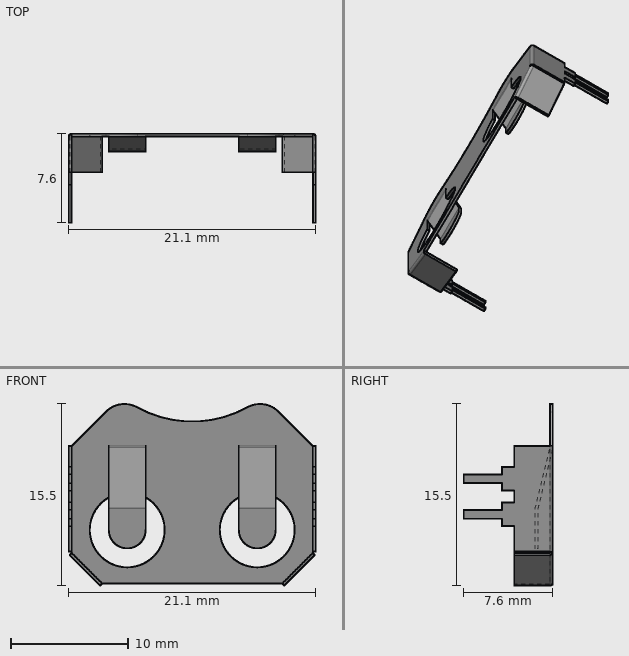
import cadquery as cq
import math


overall_width = 21.08
sheet = 0.25

half_width = overall_width / 2 - sheet
plate_top = 15.33
corner_cut = 2.61
shoulder_start = 11.75
shoulder_radius = 2.23
notch_bottom = 13.83

wall_bottom = 2.72
wall_top = shoulder_start
flange_depth = 3.3
pin_reach = 7.6
pin_width = 0.75
pin_base_reach = 4.35
pin_base_width = 2.02
pin_count = 2
pin_pitch = 3.04
lower_pin_z = 5.9

tongue_x = 5.55
tongue_width = 3.16
tongue_top = shoulder_start
tongue_reach = 1.54
tongue_angle = 13.8
tongue_bend_radius = 0.5
opening_radius = 3.18
opening_z = 4.57


def make_plate():
    """Flat plate with cut corners and a concave notch blended into two round shoulders."""
    diagonal = math.sqrt(0.5)

    shoulder_z = plate_top - shoulder_radius
    shoulder_x = half_width + shoulder_start - shoulder_radius / diagonal - shoulder_z

    rise = notch_bottom - shoulder_z
    notch_radius = (shoulder_x**2 + rise**2 - shoulder_radius**2) / (2 * (shoulder_radius - rise))
    notch_z = notch_bottom + notch_radius
    blend = shoulder_radius / (shoulder_radius + notch_radius)
    blend_x = shoulder_x * (1 - blend)
    blend_z = shoulder_z + (notch_z - shoulder_z) * blend

    edge_x = shoulder_x + shoulder_radius * diagonal
    edge_z = shoulder_z + shoulder_radius * diagonal
    return (
        cq.Workplane("XZ")
        .moveTo(corner_cut - half_width, 0)
        .lineTo(half_width - corner_cut, 0)
        .lineTo(half_width, corner_cut)
        .lineTo(half_width, shoulder_start)
        .lineTo(edge_x, edge_z)
        .threePointArc((shoulder_x, plate_top), (blend_x, blend_z))
        .threePointArc((0, notch_bottom), (-blend_x, blend_z))
        .threePointArc((-shoulder_x, plate_top), (-edge_x, edge_z))
        .lineTo(-half_width, shoulder_start)
        .lineTo(-half_width, corner_cut)
        .close()
        .extrude(sheet)
    )


def make_flange(length):
    """Forward flange with a rounded outer bend; its inner bend edge runs along +Z from the origin."""
    arc_offset = sheet * math.sqrt(0.5)
    return (
        cq.Workplane("XY")
        .threePointArc((arc_offset, arc_offset - sheet), (sheet, -sheet))
        .lineTo(sheet, -flange_depth)
        .lineTo(0, -flange_depth)
        .close()
        .extrude(length)
    )


def make_pin(center_z):
    """Solder pin on a wider base, continuing the right side wall forward."""
    pin = cq.Workplane("XY").box(sheet, pin_reach - sheet, pin_width, centered=(False, False, True))
    base = cq.Workplane("XY").box(
        sheet, pin_base_reach - sheet, pin_base_width, centered=(False, False, True)
    )
    pin = pin.translate((half_width, -pin_reach, center_z))
    return pin.union(base.translate((half_width, -pin_base_reach, center_z)))


def make_right_flanges():
    """Right side wall with its pins, and the lower right corner flap."""
    wall = make_flange(wall_top - wall_bottom).translate((half_width, 0, wall_bottom))
    for index in range(pin_count):
        wall = wall.union(make_pin(lower_pin_z + index * pin_pitch))
    flap = (
        make_flange(corner_cut * math.sqrt(2))
        .rotate((0, 0, 0), (0, 1, 0), 45)
        .translate((half_width - corner_cut, 0, 0))
    )
    return wall.union(flap)


def make_opening(center_x):
    """Cutter for the round opening and the slot left by the tongue."""
    hole = cq.Workplane("XZ").center(center_x, opening_z).circle(opening_radius).extrude(sheet)
    slot_height = tongue_top - opening_z
    slot = (
        cq.Workplane("XZ")
        .center(center_x, opening_z + slot_height / 2)
        .rect(tongue_width, slot_height)
        .extrude(sheet)
    )
    return hole.union(slot)


def make_tongue(center_x):
    """Spring tongue: bends forward at the root, runs at a slope, then turns back parallel to the plate."""
    angle = math.radians(tongue_angle)
    sine = math.sin(angle)
    cosine = math.cos(angle)
    root_y = -sheet - tongue_bend_radius
    kink_y = sheet - tongue_reach

    back_radius = tongue_bend_radius + sheet
    slope_drop = (root_y + back_radius * cosine - kink_y) / math.tan(angle)
    kink_z = tongue_top - back_radius * sine - slope_drop

    def root_point(radius, turn):
        return root_y + radius * math.cos(turn), tongue_top - radius * math.sin(turn)

    def kink_point(turn):
        return kink_y - sheet * math.cos(turn), kink_z + sheet * math.sin(turn)

    tip_z = opening_z - tongue_width / 2
    strip = (
        cq.Workplane("YZ")
        .moveTo(0, tongue_top)
        .threePointArc(root_point(back_radius, angle / 2), root_point(back_radius, angle))
        .lineTo(kink_y, kink_z)
        .lineTo(kink_y, tip_z)
        .lineTo(-tongue_reach, tip_z)
        .lineTo(-tongue_reach, kink_z)
        .threePointArc(kink_point(angle / 2), kink_point(angle))
        .lineTo(*root_point(tongue_bend_radius, angle))
        .threePointArc(root_point(tongue_bend_radius, angle / 2), (-sheet, tongue_top))
        .close()
        .extrude(tongue_width / 2, both=True)
        .translate((center_x, 0, 0))
    )
    round_end = (
        cq.Workplane("XZ")
        .moveTo(center_x - tongue_width / 2, tongue_top)
        .lineTo(center_x - tongue_width / 2, opening_z)
        .threePointArc((center_x, tip_z), (center_x + tongue_width / 2, opening_z))
        .lineTo(center_x + tongue_width / 2, tongue_top)
        .close()
        .extrude(tongue_reach)
    )
    return strip.intersect(round_end)


right_flanges = make_right_flanges()
result = make_plate().union(right_flanges).union(right_flanges.mirror("YZ"))
for center_x in (-tongue_x, tongue_x):
    result = result.cut(make_opening(center_x)).union(make_tongue(center_x))